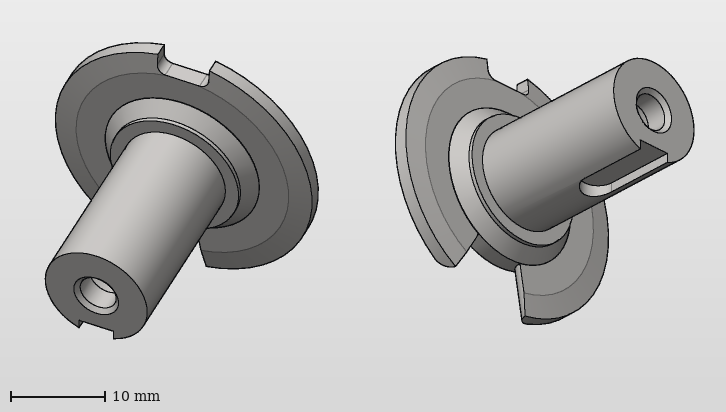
import cadquery as cq
import math

flange_radius = 15.0
flange_flat_radius = 12.42
flange_thickness = 1.95
rim_thickness = 1.62

hub_radius = 7.5
hub_chamfer = 1.5
hub_cone_start = 2.0
hub_front = 4.0

shaft_radius = 11.9 / 2
total_length = 24.0

bore_radius = 2.1
bore_mouth_radius = 2.6
bore_chamfer = bore_mouth_radius - bore_radius

cavity_radius = 8.5 / 2
end_wall_thickness = 3.0

notch_width = 6.0
notch_floor = 12.3
notch_corner_radius = 1.0

gap_start_angle = 239.5
gap_end_angle = 280.0
gap_edge_radius = flange_thickness

keyway_width = 4.0
keyway_floor = 4.5
keyway_length = 10.5


def turned_body():
    """Flange with tapered rim, conical hub, collar and shaft."""
    hub_base_radius = hub_radius + hub_chamfer
    profile = [
        (0, 0),
        (flange_radius, 0),
        (flange_radius, -rim_thickness),
        (flange_flat_radius, -flange_thickness),
        (hub_base_radius, -flange_thickness),
        (hub_base_radius, -hub_cone_start),
        (hub_radius, -hub_cone_start - hub_chamfer),
        (hub_radius, -hub_front),
        (shaft_radius, -hub_front),
        (shaft_radius, -total_length),
        (0, -total_length),
    ]
    return cq.Workplane("XY").polyline(profile).close().revolve(360, (0, 0), (0, 1))


def bore():
    """Wide cavity from the back, then a narrow bore with a chamfered mouth through the end wall."""
    cavity_end = -total_length + end_wall_thickness
    profile = [
        (0, 0),
        (cavity_radius, 0),
        (cavity_radius, cavity_end),
        (bore_radius, cavity_end),
        (bore_radius, -total_length + bore_chamfer),
        (bore_mouth_radius, -total_length),
        (0, -total_length),
    ]
    return cq.Workplane("XY").polyline(profile).close().revolve(360, (0, 0), (0, 1))


def rim_notch():
    """Top notch with rounded floor corners, open at the rim."""
    height = flange_radius - notch_floor
    return (
        cq.Workplane("XY")
        .box(notch_width, flange_thickness, height, centered=(True, False, False))
        .translate((0, -flange_thickness, notch_floor))
        .edges("|Y and <Z")
        .fillet(notch_corner_radius)
    )


def gap_edge_rounding(angle, side):
    """Waste beyond one gap wall that rounds its back edge.

    side is +1 where the flange lies at larger angles than the wall, -1 otherwise.
    """
    direction = math.radians(angle)
    radial = (math.cos(direction), 0, math.sin(direction))
    into_flange = (-side * math.sin(direction), 0, side * math.cos(direction))
    wall_plane = cq.Plane(origin=(0, 0, 0), xDir=into_flange, normal=radial)
    depth = -gap_edge_radius * wall_plane.yDir.y
    middle = gap_edge_radius * (1 - math.sqrt(0.5))
    return (
        cq.Workplane(wall_plane)
        .lineTo(0, depth)
        .threePointArc((middle, math.copysign(middle, depth)), (gap_edge_radius, 0))
        .close()
        .extrude(2 * flange_radius)
    )


def flange_gap():
    """Sector cut with rounded back edges, stopping at the base of the hub cone."""
    reach = 2 * flange_radius
    corners = [(0, 0)]
    for angle in (gap_start_angle, gap_end_angle):
        direction = math.radians(angle)
        corners.append((reach * math.cos(direction), reach * math.sin(direction)))
    sector = cq.Workplane("XZ").polyline(corners).close().extrude(flange_thickness)
    core = cq.Workplane("XZ").circle(hub_radius + hub_chamfer).extrude(flange_thickness)
    start_rounding = gap_edge_rounding(gap_start_angle, -1)
    end_rounding = gap_edge_rounding(gap_end_angle, 1)
    return sector.union(start_rounding).union(end_rounding).cut(core)


def keyway():
    """Flat-bottomed keyway from the shaft end, with a semicircular inner end."""
    half_width = keyway_width / 2
    shaft_end = -total_length
    arc_start = shaft_end + keyway_length - half_width
    return (
        cq.Workplane("XY")
        .workplane(offset=-shaft_radius)
        .moveTo(-half_width, shaft_end)
        .lineTo(half_width, shaft_end)
        .lineTo(half_width, arc_start)
        .threePointArc((0, shaft_end + keyway_length), (-half_width, arc_start))
        .close()
        .extrude(shaft_radius - keyway_floor)
    )


result = turned_body().cut(bore()).cut(rim_notch()).cut(flange_gap()).cut(keyway())